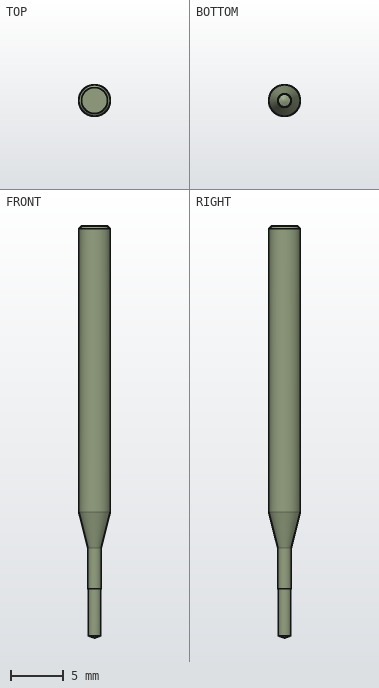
import cadquery as cq
import math

total_length = 39.0
shank_radius = 3.0 / 2
shank_chamfer = 0.27
neck_radius = 1.3 / 2
cutter_radius = 1.2 / 2
point_angle = 140.0

cutter_top = 4.68
neck_top = 8.55
shank_bottom = 11.95
point_height = cutter_radius / math.tan(math.radians(point_angle / 2))


def turned_body(plane, profile):
    """Revolve a closed (radius, height) profile about the Z axis."""
    return cq.Workplane(plane).polyline(profile).close().revolve(360, (0, 0), (0, 1))


def make_holder():
    """Chamfered shank that tapers down to a slim neck."""
    return turned_body("YZ", [
        (0, cutter_top),
        (-neck_radius, cutter_top),
        (-neck_radius, neck_top),
        (-shank_radius, shank_bottom),
        (-shank_radius, total_length - shank_chamfer),
        (-shank_radius + shank_chamfer, total_length),
        (0, total_length),
    ])


def make_cutter():
    """Cylindrical drill tip with a conical point, butted against the neck."""
    return turned_body("XZ", [
        (0, 0),
        (-cutter_radius, point_height),
        (-cutter_radius, cutter_top),
        (0, cutter_top),
    ])


holder = make_holder()
cutter = make_cutter()

result = cq.Compound.makeCompound([holder.val(), cutter.val()])